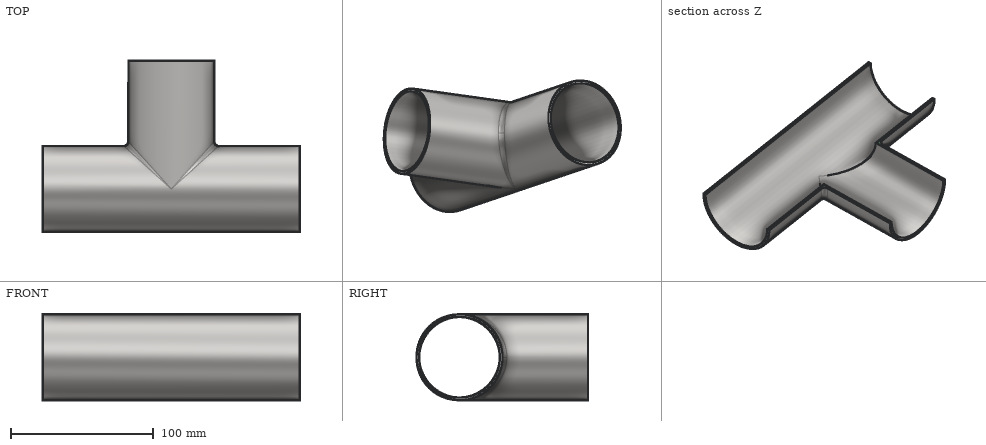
import cadquery as cq

run_length = 180
outer_diameter = 60.3
bore_diameter = 56.3
branch_length = run_length / 2
blend_radius = 3.0


def tee_body(diameter):
    """Solid tee of round bars, used for both the outside and the bore."""
    run = cq.Workplane("YZ").circle(diameter / 2).extrude(run_length / 2, both=True)
    branch = cq.Workplane("XZ").circle(diameter / 2).extrude(-branch_length)
    return run.union(branch)


outside = tee_body(outer_diameter)
blended_outside = outside.edges("%ELLIPSE").fillet(blend_radius)

result = blended_outside.cut(tee_body(bore_diameter))